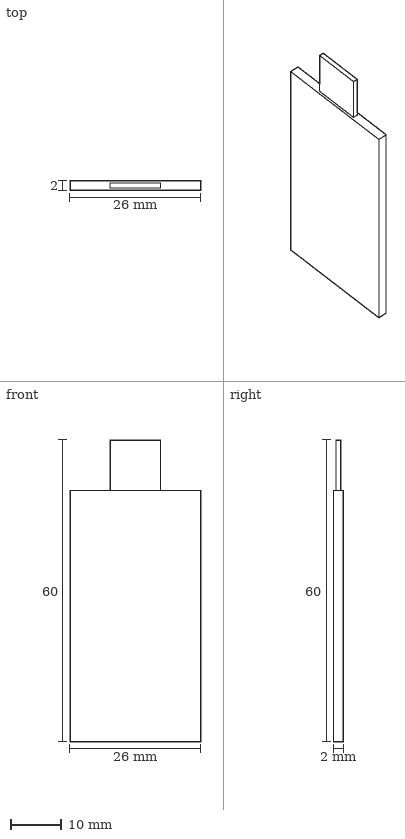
import cadquery as cq

total_height = 60.0
body_width = 26.0
body_thickness = 2.0

tab_size = 10.0
tab_thickness = body_thickness / 2
body_height = total_height - tab_size

body = cq.Workplane("XY").rect(body_width, body_thickness).extrude(body_height)

result = body.faces(">Z").workplane().rect(tab_size, tab_thickness).extrude(tab_size)